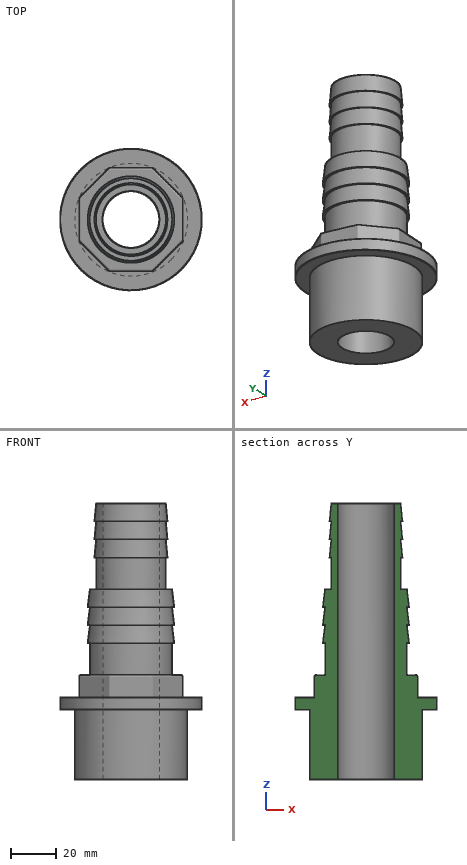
import cadquery as cq
import math

spigot_diameter = 50.1
spigot_length = 31.0
flange_diameter = 63.0
flange_thickness = 5.5

wrench_sides = 8
wrench_across_flats = 46.0
wrench_height = 10.0
wrench_edge_radius = 1.0

lower_tail_diameter = 36.5
upper_tail_diameter = 31.0
tail_length = 38.0
barb_count = 3
barb_pitch = 8.0
lower_barb_height = 1.0
upper_barb_height = 0.75

bore_diameter = 25.0

edge_break = 0.2

flange_top = spigot_length + flange_thickness
wrench_top = flange_top + wrench_height
upper_tail_base = wrench_top + tail_length
total_height = upper_tail_base + tail_length


def cylinder(diameter, base, height):
    return cq.Workplane("XY").workplane(offset=base).circle(diameter / 2).extrude(height)


def make_flange():
    flange = cylinder(flange_diameter, spigot_length, flange_thickness)
    return flange.edges().chamfer(edge_break)


def make_wrench_section():
    across_corners = wrench_across_flats / math.cos(math.pi / wrench_sides)
    octagon = (
        cq.Workplane("XY")
        .workplane(offset=flange_top)
        .transformed(rotate=(0, 0, 180 / wrench_sides))
        .polygon(wrench_sides, across_corners)
        .extrude(wrench_height)
    )
    return octagon.edges("|Z or >Z").fillet(wrench_edge_radius)


def make_hose_tail(diameter, barb_height, base):
    """Straight neck with a run of conical barbs ending at its top."""
    neck_radius = diameter / 2
    barb_radius = neck_radius + barb_height
    top = base + tail_length
    barbs_base = top - barb_count * barb_pitch

    outline = cq.Workplane("XZ").moveTo(0, base).lineTo(neck_radius, base)
    for index in range(barb_count):
        barb_base = barbs_base + index * barb_pitch
        outline = outline.lineTo(neck_radius, barb_base)
        outline = outline.lineTo(barb_radius, barb_base)
    outline = outline.lineTo(neck_radius, top).lineTo(0, top).close()
    return outline.revolve(360, (0, 0, 0), (0, 1, 0))


def make_bore():
    """Straight through bore, flared slightly where it opens at the top."""
    bore_radius = bore_diameter / 2
    mouth_radius = bore_radius + edge_break
    outline = (
        cq.Workplane("XZ")
        .lineTo(bore_radius, 0)
        .lineTo(bore_radius, total_height - edge_break)
        .lineTo(mouth_radius, total_height)
        .lineTo(0, total_height)
        .close()
    )
    return outline.revolve(360, (0, 0, 0), (0, 1, 0))


body = (
    cylinder(spigot_diameter, 0, spigot_length)
    .union(make_flange())
    .union(make_wrench_section())
    .union(make_hose_tail(lower_tail_diameter, lower_barb_height, wrench_top))
    .union(make_hose_tail(upper_tail_diameter, upper_barb_height, upper_tail_base))
)

result = body.cut(make_bore())